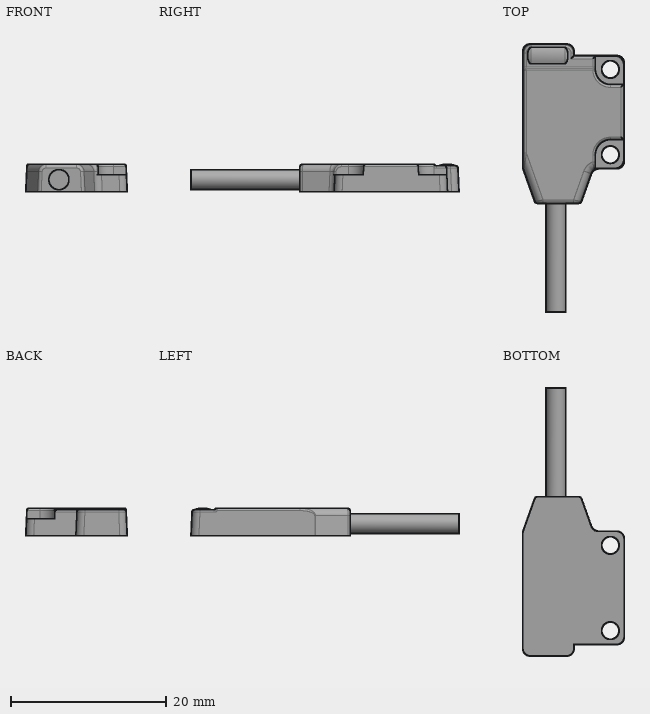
import cadquery as cq
import math


width = 13.1
height = 3.6
overall_length = 34.55
housing_length = 20.55
draft = 2.5

shoulder_y = 4.55
exit_left_x = 1.62
exit_right_x = 7.5
flank_slope = exit_left_x / shoulder_y
ear_bottom_y = 4.45
ear_top_y = 19.08
head_right_x = 6.65
outer_corner_radius = 1.0
ear_blend_radius = 1.05

edge_radius = 0.3
flank_radius = 0.97
exit_edge_radius = 0.5

shelf_drop = 0.2
step_start_y = 17.2
step_length = 0.4
shelf_z = height - shelf_drop

hole_diameter = 2.2
hole_x = 11.3
hole_ys = (6.3, 17.28)
ear_z = 2.25
recess_radius = 1.95
ear_reach = 3.45

lens_left_x = 0.62
lens_right_x = 5.85
lens_bottom_y = 18.0
lens_top_y = 20.1
lens_end_length = 0.45

cable_diameter = 2.6
cable_length = overall_length - housing_length
cable_x = 4.3
cable_z = 1.6

margin = 0.7


def vertical_edges_near(body, points, tolerance=0.25):
    """Side edges whose lower ends lie at the given plan points."""
    picked = []
    for edge in body.edges().vals():
        ends = sorted((edge.startPoint(), edge.endPoint()), key=lambda end: end.z)
        if ends[1].z - ends[0].z < height / 2:
            continue
        if any(math.hypot(ends[0].x - x, ends[0].y - y) < tolerance for x, y in points):
            picked.append(edge)
    return body.newObject(picked)


def rectangle(left, bottom, right, top):
    return [(left, bottom), (right, bottom), (right, top), (left, top)]


def drafted_prism(outline):
    """Full-height prism whose sides lean inward by the draft."""
    return cq.Workplane("XY").polyline(outline).close().extrude(height, taper=draft)


def make_block():
    """Drafted block with rounded corners and a square-cut cable exit face."""
    overrun = margin * flank_slope
    ear_start_x = exit_right_x + ear_bottom_y * flank_slope
    core_y = (shoulder_y + ear_top_y) / 2
    trunk = [
        (exit_left_x + overrun, -margin),
        (exit_right_x - overrun, -margin),
        (exit_right_x + shoulder_y * flank_slope, shoulder_y),
        (ear_start_x, core_y),
        (0, core_y),
        (0, shoulder_y),
    ]
    ears = rectangle(exit_left_x, ear_bottom_y, width, ear_top_y)
    head = rectangle(0, shoulder_y, head_right_x, housing_length)
    block = drafted_prism(trunk).union(drafted_prism(ears)).union(drafted_prism(head)).clean()
    exit_trim = cq.Workplane("XY").box(width, margin, height, centered=False).translate((0, -margin, 0))
    block = block.cut(exit_trim)
    outer_corners = [
        (width, ear_bottom_y),
        (width, ear_top_y),
        (head_right_x, housing_length),
        (0, housing_length),
    ]
    block = vertical_edges_near(block, outer_corners).fillet(outer_corner_radius)
    return vertical_edges_near(block, [(ear_start_x, ear_bottom_y)]).fillet(ear_blend_radius)


def round_flanks(block):
    """Large rounding along the top of both flanks, then a smaller one round the exit face."""
    flank_edges = [
        edge for edge in block.edges(">Z").vals()
        if 0 < edge.positionAt(0.5).y < shoulder_y and edge.positionAt(0.5).x < hole_x
    ]
    block = block.newObject(flank_edges).fillet(flank_radius)
    return block.faces("<Y").edges("not <Z").fillet(exit_edge_radius)


def cut_shelf(block):
    """Lower the head end behind a step made of two equal tangent arcs."""
    mid = (step_start_y + step_length / 2, height - shelf_drop / 2)
    end_y = step_start_y + step_length
    half_y = step_length / 2
    half_z = shelf_drop / 2
    radius = (half_y**2 + half_z**2) / (2 * half_z)
    half_angle = math.asin(half_y / radius) / 2
    bow_y = radius * math.sin(half_angle)
    bow_z = radius * (1 - math.cos(half_angle))
    cutter = (
        cq.Workplane("YZ")
        .moveTo(step_start_y, height)
        .threePointArc((step_start_y + bow_y, height - bow_z), mid)
        .threePointArc((end_y - bow_y, shelf_z + bow_z), (end_y, shelf_z))
        .lineTo(housing_length + margin, shelf_z)
        .lineTo(housing_length + margin, height + margin)
        .lineTo(step_start_y, height + margin)
        .close()
        .extrude(width)
    )
    return block.cut(cutter)


def cut_ears(block):
    """Lower both ears with drafted pockets and drill their screw holes."""
    for hole_y, outward in zip(hole_ys, (-1, 1)):
        outer_y = hole_y + outward * ear_reach
        pocket = (
            cq.Workplane("XY", origin=(0, 0, ear_z))
            .moveTo(hole_x - recess_radius, outer_y)
            .vLineTo(hole_y)
            .radiusArc((hole_x, hole_y - outward * recess_radius), -outward * recess_radius)
            .hLineTo(width + margin)
            .vLineTo(outer_y)
            .close()
            .extrude(height, taper=-draft)
        )
        hole = cq.Workplane("XY").center(hole_x, hole_y).circle(hole_diameter / 2).extrude(height)
        block = block.cut(pocket).cut(hole)
    return block


def make_lens():
    """Barrel-shaped lens: a cylinder segment along X, turned over at both ends about its buried chord."""
    mid_y = (lens_bottom_y + lens_top_y) / 2
    half_width = (lens_top_y - lens_bottom_y) / 2
    arc_radius = (half_width**2 + shelf_drop**2) / (2 * shelf_drop)
    turn_radius = (lens_end_length**2 + shelf_drop**2) / (2 * shelf_drop)
    half_chord = math.sqrt(arc_radius**2 - (arc_radius - turn_radius) ** 2)
    left_x = lens_left_x + lens_end_length
    right_x = lens_right_x - lens_end_length

    def segment(x):
        return (
            cq.Workplane("YZ", origin=(x, mid_y, height - turn_radius))
            .moveTo(-half_chord, 0)
            .threePointArc((0, turn_radius), (half_chord, 0))
            .close()
        )

    barrel = segment(left_x).extrude(right_x - left_x)
    for x in (left_x, right_x):
        barrel = barrel.union(segment(x).revolve(360, (0, 0), (1, 0)))
    above_shelf = cq.Workplane("XY", origin=(0, 0, shelf_z)).rect(2 * width, 2 * housing_length).extrude(height)
    return barrel.intersect(above_shelf)


def round_rim(block):
    """Small rounding along the top edges; each one picked runs on through its tangent neighbours."""
    middle_y = sum(hole_ys) / 2
    pocket_x = (hole_x + width) / 2
    shelf_edge_x = (head_right_x + hole_x - recess_radius) / 2
    neck_y = (ear_top_y + housing_length - outer_corner_radius) / 2
    rim_points = [
        (0, middle_y, height),
        (width, middle_y, height),
        (pocket_x, hole_ys[0] + recess_radius, height),
        (pocket_x, hole_ys[1] - recess_radius, height),
        (shelf_edge_x, ear_top_y, shelf_z),
        (head_right_x, neck_y, shelf_z),
    ]
    rim = [block.edges(cq.selectors.NearestToPointSelector(point)).val() for point in rim_points]
    return block.newObject(rim).fillet(edge_radius)


def make_housing():
    housing = cut_ears(make_block())
    housing = round_flanks(housing)
    housing = cut_shelf(housing)
    housing = round_rim(housing)
    return housing.union(make_lens())


def make_cable():
    """Round cable butted against the exit face."""
    return cq.Workplane("XZ").center(cable_x, cable_z).circle(cable_diameter / 2).extrude(cable_length)


housing = make_housing()
cable = make_cable()
result = cq.Compound.makeCompound([housing.val(), cable.val()])